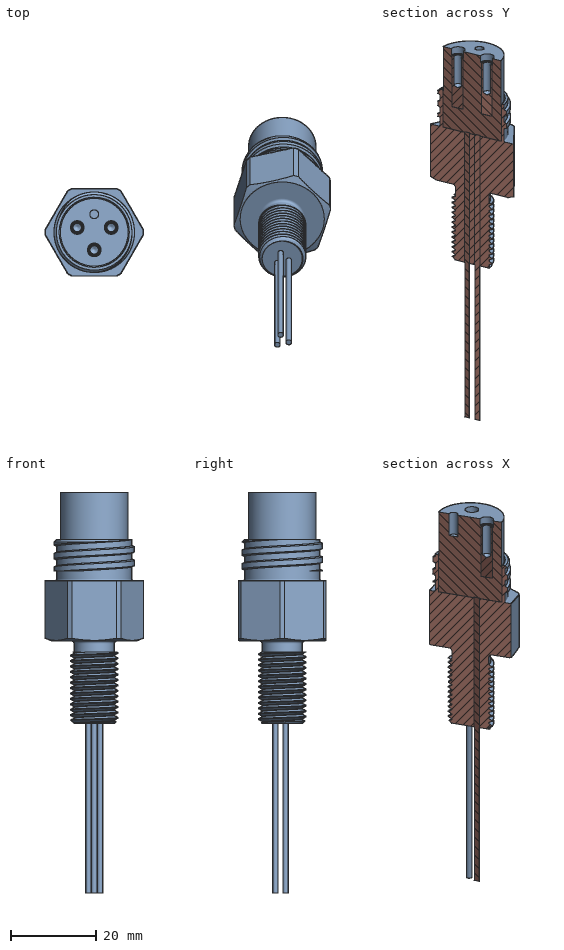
import cadquery as cq
import math


overall_length = 94.1

insert_dia = 15.9
insert_exposed = 11.1
insert_recess_chamfer = 0.3

hex_across_flats = 20.6
hex_corner_dia = 23.1
hex_top_z = -20.7
hex_height = 14.2
hex_bottom_z = hex_top_z - hex_height
hex_bottom_dia = 19.75
hex_chamfer_height = 0.7
hex_top_chamfer = 0.1

collar_dia = 17.7
collar_top_z = -insert_exposed
collar_fillet = 0.3
collar_thread_dia = 18.9
collar_thread_pitch = 3.2
collar_thread_base = 1.8
collar_thread_crest = 1.2
collar_thread_crest_z = -13.4
collar_thread_end_z = -18.4
collar_thread_lead_in = 0.6

stud_dia = 9.4
stud_end_z = -54.3
stud_fillet = 0.7
stud_thread_dia = 11.1
stud_thread_pitch = 12.7 / 10
stud_thread_base = 1.1
stud_thread_crest = 0.2
stud_thread_crest_z = -38.9
stud_thread_top_z = -37.4
stud_thread_lead_in = 0.8

thread_sink = 0.1
thread_crest_clearance = 0.1

contact_angles = [-90, 15.7, 164.3]
contact_circle_radius = 4.1
contact_hole_dia = 3.2
contact_recess = 1.7
socket_dia = 2.8
socket_length = 13.2
socket_bore_dia = 2.0
socket_bore_chamfer = 0.2
socket_bore_depth = 7.5
bore_tip_angle = 118

key_hole_dia = 2.1
key_hole_y = 4.2
key_hole_depth = 5.6

wire_dia = 1.3
wire_circle_radius = 1.6
wire_angles = [-90, 30, 150]


def cylinder(diameter, top_z, bottom_z):
    return cq.Workplane("XY").workplane(offset=bottom_z).circle(diameter / 2).extrude(top_z - bottom_z)


def polar_points(radius, angles):
    points = []
    for angle in angles:
        turn = math.radians(angle)
        points.append((radius * math.cos(turn), radius * math.sin(turn)))
    return points


def thread_envelope(thread_dia, top_z, bottom_z):
    """Cylinder that trims the ends of a thread and clears its crests all round."""
    return cylinder(thread_dia + 2 * thread_crest_clearance, top_z, bottom_z)


def thread_ridge(core_dia, crest_dia, pitch, base, crest, crest_z, envelope):
    """Right-handed trapezoidal ridge wound past both ends of the envelope, then trimmed to it."""
    core = core_dia / 2
    tip = crest_dia / 2
    root = core - thread_sink
    root_width = base + thread_sink * (base - crest) / (tip - core)
    ends = envelope.val().BoundingBox()
    start_z = crest_z - pitch * math.ceil((crest_z - ends.zmin) / pitch + 1)
    turns = math.ceil((ends.zmax - start_z) / pitch + 1)
    path = cq.Wire.makeHelix(pitch, turns * pitch, core, cq.Vector(0, 0, start_z))
    profile = [
        (root, start_z - root_width / 2),
        (tip, start_z - crest / 2),
        (tip, start_z + crest / 2),
        (root, start_z + root_width / 2),
    ]
    ridge = cq.Workplane("XZ").polyline(profile).close().sweep(cq.Workplane(path), isFrenet=True)
    return ridge.intersect(envelope)


def make_hexagon():
    """Hexagon with turned corners, a conical lower edge and a lightly broken top edge."""
    blank = (
        cq.Workplane("XY")
        .workplane(offset=hex_bottom_z)
        .polygon(6, hex_across_flats / math.cos(math.pi / 6))
        .extrude(hex_height)
    )
    rounding = (
        cq.Workplane("XZ")
        .moveTo(0, hex_bottom_z)
        .lineTo(hex_bottom_dia / 2, hex_bottom_z)
        .lineTo(hex_corner_dia / 2, hex_bottom_z + hex_chamfer_height)
        .lineTo(hex_corner_dia / 2, hex_top_z)
        .lineTo(0, hex_top_z)
        .close()
        .revolve(360, (0, 0), (0, 1))
    )
    return blank.intersect(rounding).faces(">Z").chamfer(hex_top_chamfer)


def make_collar():
    core = cylinder(collar_dia, collar_top_z, hex_top_z)
    envelope = thread_envelope(collar_thread_dia, collar_top_z, collar_thread_end_z)
    envelope = envelope.faces(">Z").chamfer(collar_thread_lead_in + thread_crest_clearance)
    ridge = thread_ridge(
        collar_dia,
        collar_thread_dia,
        collar_thread_pitch,
        collar_thread_base,
        collar_thread_crest,
        collar_thread_crest_z,
        envelope,
    )
    return core.union(ridge)


def make_stud():
    envelope = thread_envelope(stud_thread_dia, stud_thread_top_z, stud_end_z)
    envelope = envelope.faces("<Z").chamfer(stud_thread_lead_in + thread_crest_clearance)
    ridge = thread_ridge(
        stud_dia,
        stud_thread_dia,
        stud_thread_pitch,
        stud_thread_base,
        stud_thread_crest,
        stud_thread_crest_z,
        envelope,
    )
    return cylinder(stud_dia, hex_bottom_z, stud_end_z).union(ridge)


def make_root_fillet(shaft_dia, face_z, radius, direction):
    """Concave ring where a shaft leaves a flat face upward (direction 1) or downward (-1)."""
    inner = shaft_dia / 2
    sag = radius * (1 - math.sqrt(0.5))
    return (
        cq.Workplane("XZ")
        .moveTo(inner - radius, face_z)
        .lineTo(inner + radius, face_z)
        .threePointArc((inner + sag, face_z + direction * sag), (inner, face_z + direction * radius))
        .lineTo(inner - radius, face_z + direction * radius)
        .close()
        .revolve(360, (0, 0), (0, 1))
    )


def make_recess_mouth():
    """Cone that chamfers the mouth of the insert recess."""
    return (
        cq.Workplane("XY")
        .workplane(offset=collar_top_z)
        .circle(insert_dia / 2 + insert_recess_chamfer)
        .extrude(-insert_recess_chamfer, taper=45)
    )


def make_housing():
    insert_recess = cylinder(insert_dia, collar_top_z, hex_top_z).union(make_recess_mouth())
    wire_holes = make_wires()
    return (
        make_hexagon()
        .union(make_root_fillet(collar_dia, hex_top_z, collar_fillet, 1))
        .union(make_root_fillet(stud_dia, hex_bottom_z, stud_fillet, -1))
        .union(make_collar())
        .union(make_stud())
        .cut(insert_recess)
        .cut(cq.Workplane(cq.Compound.makeCompound(wire_holes)))
    )


def make_insert():
    """Cylinder with a locating hole and a stepped hole for each socket."""
    insert = cylinder(insert_dia, 0, hex_top_z)
    key_hole = cylinder(key_hole_dia, 0, -key_hole_depth).translate((0, key_hole_y, 0))
    insert = insert.cut(key_hole)
    for x, y in polar_points(contact_circle_radius, contact_angles):
        entry = cylinder(contact_hole_dia, 0, -contact_recess)
        seat = cylinder(socket_dia, -contact_recess, -contact_recess - socket_length)
        insert = insert.cut(entry.union(seat).translate((x, y, 0)))
    return insert


def make_sockets():
    """Contact tubes, each with a drilled bore that ends in a cone."""
    top_z = -contact_recess
    bore_end_z = top_z - socket_bore_depth
    bore_radius = socket_bore_dia / 2
    tip_depth = bore_radius / math.tan(math.radians(bore_tip_angle / 2))
    socket = (
        cq.Workplane("XZ")
        .moveTo(bore_radius, top_z - socket_bore_chamfer)
        .lineTo(bore_radius + socket_bore_chamfer, top_z)
        .lineTo(socket_dia / 2, top_z)
        .lineTo(socket_dia / 2, top_z - socket_length)
        .lineTo(0, top_z - socket_length)
        .lineTo(0, bore_end_z - tip_depth)
        .lineTo(bore_radius, bore_end_z)
        .close()
        .revolve(360, (0, 0), (0, 1))
    )
    places = polar_points(contact_circle_radius, contact_angles)
    return [socket.translate((x, y, 0)).val() for x, y in places]


def make_wires():
    """Straight wires from the underside of the insert to the free end."""
    wire = cylinder(wire_dia, hex_top_z, -overall_length)
    places = polar_points(wire_circle_radius, wire_angles)
    return [wire.translate((x, y, 0)).val() for x, y in places]


housing = make_housing()
insert = make_insert()
sockets = make_sockets()
wires = make_wires()

result = cq.Compound.makeCompound([housing.val(), insert.val(), *sockets, *wires])